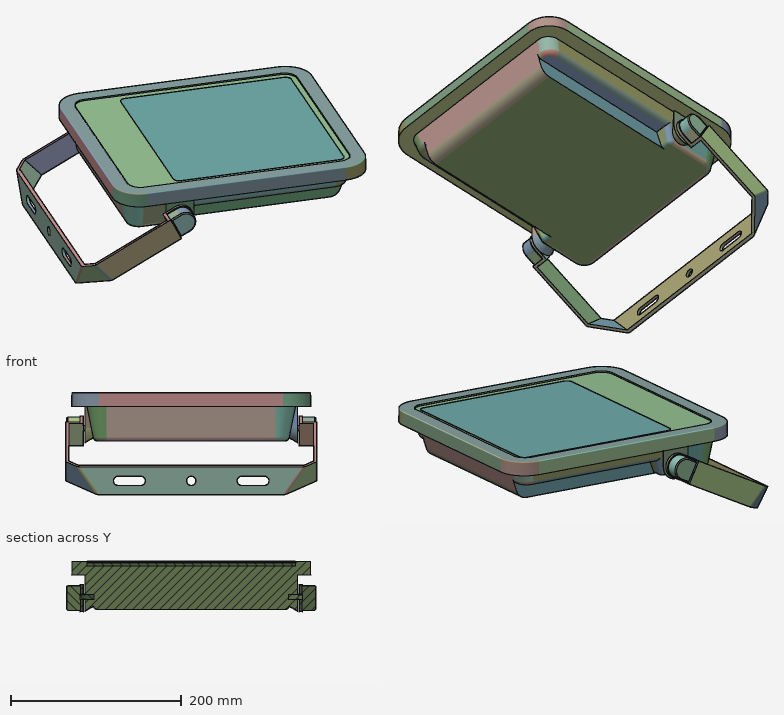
import cadquery as cq
import math


RIM_WIDTH = 280.5
RIM_LENGTH = 308.0
RIM_HEIGHT = 16.3
RIM_CORNER = 32.5
RIM_DRAFT = 1.0
RIM_EDGE_ROUND = 1.0
GLASS_INSET = 18.5
GLASS_CORNER = 15.5
GLASS_RECESS = 1.8
GLASS_THICKNESS = 3.5
WINDOW_WIDTH = 228.0
WINDOW_BACK = 128.5
WINDOW_FRONT = -80.0
WINDOW_CORNER = 7.0
WINDOW_DEPTH = 0.5

TUB_BOTTOM = -56.5
TUB_HALF_WIDTH = 122.0
TUB_FRONT = -143.0
TUB_BACK = 137.5
TUB_DRAFT = 11.5
TUB_BACK_DRAFT = 19.0
TUB_FRONT_CORNER = 23.5
TUB_BACK_CORNER = 17.0
TUB_BOTTOM_ROUND = 5.3
TUB_BACK_ROUND = 14.0
LEDGE_Z = -36.5
LEDGE_ROUND = 6.7
LEDGE_FRONT = -55.5
LEDGE_END_DRAFT = 22.0
CORE_HALF_WIDTH = 99.0

PIVOT_Y = -77.0
PIVOT_Z = -41.8
BOSS_RADIUS = 17.0
BOSS_FACE = 124.5
BOSS_DRAFT = 30.0
BOSS_DEPTH = 14.0

BRACKET_WIDTH = 294.0
BRACKET_FRONT = -200.0
SHEET = 4.0
BLANK_HEIGHT = 177.0
ARM_WIDTH = 29.5
ARM_ANGLE = 26.6
TAB_FACE = 130.3
FLANGE_START = 12.7
SLOT_LENGTH = 37.0
HOLE_DIAMETER = 10.5
SLOT_SPACING = 144.8
FACET_TOP = 13.8
FACET_BOTTOM = 37.0
FACET_SKEW = 0.78

CAP_RADIUS = 13.5
CAP_FACE = 146.0
CAP_CHAMFER = 1.5
BOLT_DIAMETER = 6.7
BOLT_HOLE_DIAMETER = 7.0
BOLT_DEPTH = 10.5

FAR = 708.0
MARGIN = 0.5
SIDES = (-1, 1)

BOLT_TIP = BOSS_FACE - BOLT_DEPTH
ARM_SLOPE = math.tan(math.radians(ARM_ANGLE))
PLATE_HEIGHT = ARM_WIDTH / math.cos(math.radians(ARM_ANGLE))
PLATE_Z = PIVOT_Z - (PIVOT_Y - BRACKET_FRONT) * ARM_SLOPE
FACET_LEAN = (FACET_BOTTOM - FACET_TOP) / PLATE_HEIGHT


def rounded_block(width, length, top, height, corner, y=0.0, draft=0.0):
    """Rounded rectangle centred on X = 0, reaching down from `top` (up for a negative height)."""
    outline = cq.Sketch().rect(width, length).vertices().fillet(corner)
    plan = cq.Workplane("XY", origin=(0, y, top)).placeSketch(outline)
    return plan.extrude(-height, taper=draft)


def side_plane(x, turned=0.0):
    """Plane facing -X at the pivot; local x points to -Y, turned downward by an angle."""
    turn = math.radians(turned)
    along = (0, -math.cos(turn), -math.sin(turn))
    return cq.Workplane(cq.Plane(origin=(x, PIVOT_Y, PIVOT_Z), xDir=along, normal=(-1, 0, 0)))


def on_side(left_part, side):
    """The left-hand part itself for side -1, or its mirror image for side 1."""
    return left_part if side < 0 else left_part.mirror("YZ")


def rounded_end(plane, radius, length, depth):
    """Strip along local x from a half-round end about the pivot to a square end."""
    outline = (
        plane.moveTo(length, -radius)
        .lineTo(0, -radius)
        .threePointArc((-radius, 0), (0, radius))
        .lineTo(length, radius)
        .close()
    )
    return outline.extrude(depth)


def make_rim():
    rim = rounded_block(RIM_WIDTH, RIM_LENGTH, -RIM_HEIGHT, -RIM_HEIGHT, RIM_CORNER, draft=RIM_DRAFT)
    return rim.faces(">Z").edges().fillet(RIM_EDGE_ROUND)


def make_glass_block(top, height):
    width = RIM_WIDTH - 2 * GLASS_INSET
    length = RIM_LENGTH - 2 * GLASS_INSET
    return rounded_block(width, length, top, height, GLASS_CORNER)


def round_ledge_rim(tub):
    """Rounds the edge between the tub's walls and the undercuts: along each ledge and down its end."""
    outside_core = CORE_HALF_WIDTH + MARGIN
    edges = []
    for side in SIDES:
        low_x, high_x = sorted((side * outside_core, side * FAR))
        ledge = cq.selectors.BoxSelector(
            (low_x, LEDGE_FRONT + MARGIN, LEDGE_Z - MARGIN), (high_x, FAR, LEDGE_Z + MARGIN)
        )
        end = cq.selectors.BoxSelector(
            (low_x, LEDGE_FRONT - BOSS_RADIUS, TUB_BOTTOM + MARGIN), (high_x, LEDGE_FRONT, LEDGE_Z - MARGIN)
        )
        edges += tub.edges(ledge).vals()
        edges += tub.edges(end).vals()
    return tub.newObject(edges).fillet(LEDGE_ROUND)


def make_tub():
    """Drafted tub whose sides are cut back to a narrower core behind the bosses."""
    top = -RIM_HEIGHT
    depth = top - TUB_BOTTOM
    overlong = 2 * TUB_BACK
    tub = rounded_block(
        2 * TUB_HALF_WIDTH,
        overlong - TUB_FRONT,
        top,
        depth,
        TUB_FRONT_CORNER,
        y=(overlong + TUB_FRONT) / 2,
        draft=TUB_DRAFT,
    )

    bottom_back = TUB_BACK - depth * math.tan(math.radians(TUB_BACK_DRAFT))
    profile = (
        cq.Workplane("YZ")
        .polyline([(-FAR, top), (TUB_BACK, top), (bottom_back, TUB_BOTTOM), (-FAR, TUB_BOTTOM)])
        .close()
        .extrude(FAR, both=True)
    )
    tub = tub.intersect(profile)
    back_corners = tub.faces(">Y").edges("not |X")
    tub = back_corners.fillet(TUB_BACK_CORNER)
    rounded_profile = profile.faces("<Z").edges(">Y").fillet(TUB_BACK_ROUND)
    tub = tub.intersect(rounded_profile)

    end_bottom = LEDGE_FRONT - (LEDGE_Z - TUB_BOTTOM) * math.tan(math.radians(LEDGE_END_DRAFT))
    undercut = (
        cq.Workplane("YZ", origin=(CORE_HALF_WIDTH, 0, 0))
        .polyline([(LEDGE_FRONT, LEDGE_Z), (FAR, LEDGE_Z), (FAR, TUB_BOTTOM), (end_bottom, TUB_BOTTOM)])
        .close()
        .extrude(FAR)
    )
    tub = tub.cut(undercut).cut(undercut.mirror("YZ"))
    tub = round_ledge_rim(tub)
    front_bottom = cq.selectors.BoxSelector(
        (-FAR, TUB_FRONT, TUB_BOTTOM - 3.5), (FAR, end_bottom - 3.5, TUB_BOTTOM + MARGIN)
    )
    return tub.edges(front_bottom).fillet(TUB_BOTTOM_ROUND)


def make_boss():
    """Round-bottomed pivot boss on the left wall, widening outward to its flat face."""
    top = -RIM_HEIGHT + BOSS_DEPTH * math.tan(math.radians(BOSS_DRAFT)) - PIVOT_Z
    outline = (
        side_plane(-BOSS_FACE)
        .moveTo(-BOSS_RADIUS, top)
        .lineTo(-BOSS_RADIUS, 0)
        .threePointArc((0, -BOSS_RADIUS), (BOSS_RADIUS, 0))
        .lineTo(BOSS_RADIUS, top)
        .close()
    )
    return outline.extrude(-BOSS_DEPTH, taper=BOSS_DRAFT)


def make_housing():
    housing = make_rim().union(make_tub())
    for side in SIDES:
        housing = housing.union(on_side(make_boss(), side))
    housing = housing.cut(make_glass_block(0, GLASS_RECESS + GLASS_THICKNESS))
    for side in SIDES:
        housing = housing.cut(on_side(make_bolt(), side))
    return housing


def make_glass():
    window = rounded_block(
        WINDOW_WIDTH,
        WINDOW_BACK - WINDOW_FRONT,
        -GLASS_RECESS,
        WINDOW_DEPTH,
        WINDOW_CORNER,
        y=(WINDOW_BACK + WINDOW_FRONT) / 2,
    )
    return make_glass_block(-GLASS_RECESS, GLASS_THICKNESS).cut(window)


def facet_cutter(offset):
    """Block outside the slanted facet at the left front corner, whose edge on the front
    plate runs from FACET_TOP to FACET_BOTTOM in from the corner; `offset` moves it along X."""
    top_z = PLATE_Z + PLATE_HEIGHT / 2
    origin = (-BRACKET_WIDTH / 2 + FACET_TOP + offset, BRACKET_FRONT, top_z)
    facet = cq.Plane(origin=origin, xDir=(FACET_SKEW, -1, 0), normal=(-1, -FACET_SKEW, -FACET_LEAN))
    return cq.Workplane(facet).rect(FAR, FAR).extrude(FAR)


def bracket_envelope(inset, facet_offset):
    """Block filling the bracket's outline, inset at its sides and front."""
    width = BRACKET_WIDTH - 2 * inset
    length = PIVOT_Y - BRACKET_FRONT - inset
    block = cq.Workplane("XY", origin=(0, PIVOT_Y - length / 2, PLATE_Z)).box(width, length, BLANK_HEIGHT)
    for side in SIDES:
        block = block.cut(on_side(facet_cutter(facet_offset), side))
    return block


def make_bracket():
    """U of sheet sloping down from the pivot, with its arm ends stepped inward to round tabs."""
    inner_facet = SHEET * math.sqrt(1 + FACET_SKEW**2 + FACET_LEAN**2)
    outside = bracket_envelope(0, 0)
    outside = outside.faces("<Y or <X or >X").edges("not (|X or |Y or |Z)").fillet(SHEET)
    sheet = outside.cut(bracket_envelope(SHEET, inner_facet))

    half = ARM_WIDTH / 2
    strip = side_plane(FAR, ARM_ANGLE).moveTo(FLANGE_START, -half).lineTo(FAR, -half)
    strip = strip.lineTo(FAR, half).lineTo(FLANGE_START, half).close().extrude(2 * FAR)
    bracket = sheet.intersect(strip)

    flange_depth = BRACKET_WIDTH / 2 - TAB_FACE + SHEET
    for side in SIDES:
        tab = rounded_end(side_plane(-TAB_FACE + SHEET, ARM_ANGLE), half, FLANGE_START + SHEET, SHEET)
        flange = (
            side_plane(-TAB_FACE + SHEET, ARM_ANGLE)
            .center(FLANGE_START + SHEET / 2, 0)
            .rect(SHEET, ARM_WIDTH)
            .extrude(flange_depth)
        )
        bolt_hole = side_plane(0).circle(BOLT_HOLE_DIAMETER / 2).extrude(TAB_FACE)
        bracket = bracket.union(on_side(tab.union(flange), side)).cut(on_side(bolt_hole, side))

    front = cq.Workplane("XZ", origin=(0, BRACKET_FRONT + 2 * SHEET, PLATE_Z))
    slots = front.pushPoints([(side * SLOT_SPACING / 2, 0) for side in SIDES])
    bracket = bracket.cut(slots.slot2D(SLOT_LENGTH, HOLE_DIAMETER).extrude(3 * SHEET))
    return bracket.cut(front.circle(HOLE_DIAMETER / 2).extrude(3 * SHEET))


def make_cap():
    """Cap filling the step in the left arm, against the tab and the flange."""
    cap = rounded_end(side_plane(-TAB_FACE, ARM_ANGLE), CAP_RADIUS, FLANGE_START, CAP_FACE - TAB_FACE)
    return cap.faces("<X").edges().chamfer(CAP_CHAMFER)


def make_bolt():
    """Pivot bolt from the left cap through the tab into the housing boss."""
    return side_plane(-BOLT_TIP).circle(BOLT_DIAMETER / 2).extrude(TAB_FACE - BOLT_TIP)


housing = make_housing()
glass = make_glass()
bracket = make_bracket()
caps = [on_side(make_cap(), side) for side in SIDES]
bolts = [on_side(make_bolt(), side) for side in SIDES]

result = cq.Compound.makeCompound(
    [housing.val(), glass.val(), bracket.val(), *[cap.val() for cap in caps], *[bolt.val() for bolt in bolts]]
)